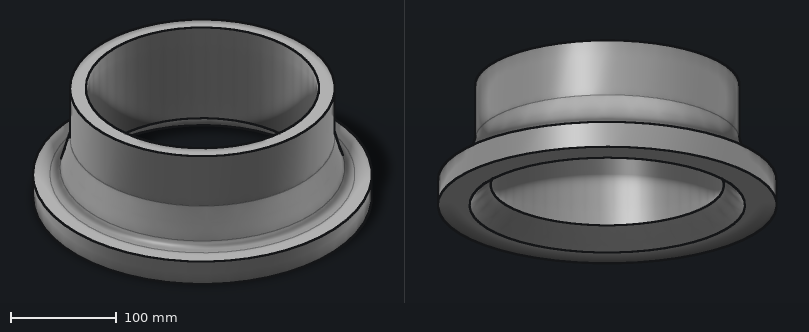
import cadquery as cq
import math

flange_radius = 160.0
flange_thickness = 25.0

overall_height = 120.0
neck_radius = 125.0
bore_radius = 110.0
neck_bottom = 65.0

bore_chamfer = 20.0

hub_half_angle = math.radians(16.0)
hub_base_radius = neck_radius + (neck_bottom - flange_thickness) * math.tan(hub_half_angle)
hub_fillet_radius = 10.0

selection_margin = 1.0


def revolved_body():
    """Revolve the half section of flange, hub, neck and chamfered bore about Z."""
    section = (
        cq.Workplane("XZ")
        .moveTo(bore_radius, bore_chamfer)
        .lineTo(bore_radius + bore_chamfer, 0)
        .lineTo(flange_radius, 0)
        .lineTo(flange_radius, flange_thickness)
        .lineTo(hub_base_radius, flange_thickness)
        .lineTo(neck_radius, neck_bottom)
        .lineTo(neck_radius, overall_height)
        .lineTo(bore_radius, overall_height)
        .close()
    )
    return section.revolve(360, (0, 0, 0), (0, 1, 0))


def fillet_hub(body):
    """Round the inner corner where the hub meets the flange face."""
    reach = hub_base_radius + selection_margin
    corner = cq.selectors.BoxSelector(
        (-reach, -reach, flange_thickness - selection_margin),
        (reach, reach, flange_thickness + selection_margin),
        boundingbox=True,
    )
    return body.edges(corner).fillet(hub_fillet_radius)


result = fillet_hub(revolved_body())